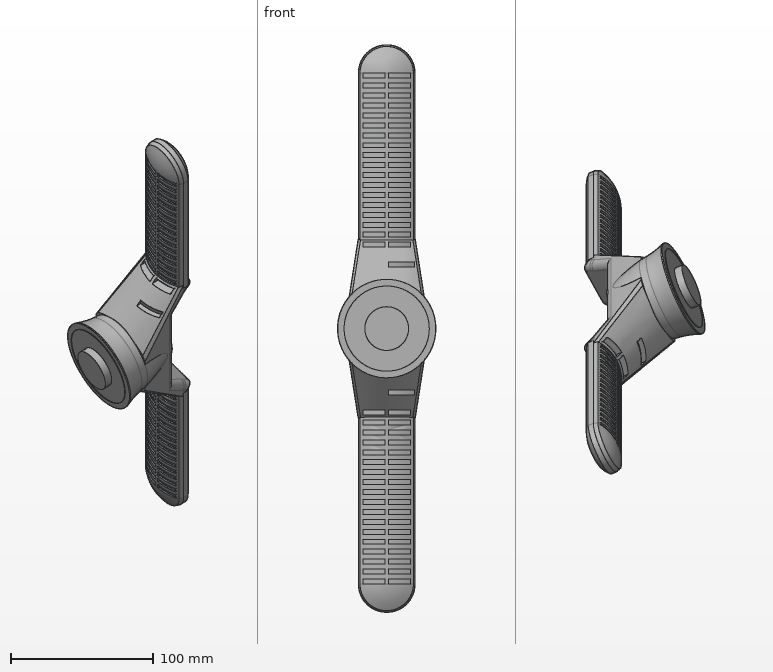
import math

import cadquery as cq


total_length = 399.68
total_depth = 76.4

grip_half_width = 20.0
grip_depth = 17.7
back_flat_half_width = 9.0
back_round_depth = 5.3
widest_depth = 9.3
crown_half_width = 18.8
crown_radius = 36.0
grip_end_z = total_length / 2 - grip_half_width

back_bend_z = 57.9
front_bend_z = 62.2
bridge_back_depth = 19.5
bridge_back_half_height = 39.8
bridge_front_half_width = 27.4
bridge_back_round = 6.0
bridge_edge_top_z = 63.9
bridge_edge_bottom_z = 16.4
bridge_bevel_width = 1.8
slope_crown_radius = 42.0
bridge_limit_z = 80.0
selection_margin = 1.0

hub_start_depth = 20.0
hub_start_radius = 20.6
hub_bulge = 0.7
collar_depth = 50.3
collar_radius = 30.3
flare_depth = 56.0
flare_radius = 31.0
flare_hollow = 0.4
rim_back_depth = 69.2
rim_radius = 34.7
rim_front_depth = 70.2
plate_depth = 70.7
plate_radius = 30.0
button_radius = 15.4

groove_count = 18
groove_pitch = 7.0
groove_height = 3.5
groove_depth = 1.2
groove_inner_x = 1.3
groove_outer_x = 16.6
first_groove_z = grip_end_z - groove_height / 2
odd_groove_index = 19
odd_groove_outer_x = 19.5
groove_reach = 12.0


def crown_y(x, front_depth, radius=crown_radius):
    """Y of the crowned front at a distance x from the middle."""
    return -front_depth + radius - math.sqrt(radius**2 - x**2)


def slope_depth(z):
    """Depth of the middle of the sloping bridge front at height z."""
    return grip_depth + front_bend_z - z


def grip_half_section(workplane):
    """Right half of the grip cross-section, closed along its middle line."""
    half_crown_x = crown_half_width / 2
    return (
        workplane.moveTo(0, 0)
        .lineTo(back_flat_half_width, 0)
        .tangentArcPoint((grip_half_width, -back_round_depth), relative=False)
        .lineTo(grip_half_width, -widest_depth)
        .lineTo(crown_half_width, crown_y(crown_half_width, grip_depth))
        .threePointArc((half_crown_x, crown_y(half_crown_x, grip_depth)), (0, -grip_depth))
        .close()
    )


def make_upper_grip():
    """Straight grip above the bend, with a domed end turned from the same section."""
    right_half = grip_half_section(cq.Workplane("XY")).extrude(grip_end_z)
    straight = right_half.union(right_half.mirror("YZ"))
    below_bend = (
        cq.Workplane("YZ")
        .polyline([
            (0, back_bend_z),
            (-grip_depth, front_bend_z),
            (-grip_depth, 0),
            (0, 0),
        ])
        .close()
        .extrude(grip_half_width, both=True)
    )
    end_plane = cq.Workplane("XY", origin=(0, 0, grip_end_z))
    dome = grip_half_section(end_plane).revolve(180, (0, 0), (0, -1))
    return straight.cut(below_bend).union(dome)


def slope_limit_wire(z):
    """Outline at height z of the crowned slope front with its bevelled edges."""
    fraction = (bridge_edge_top_z - z) / (bridge_edge_top_z - bridge_edge_bottom_z)
    edge_x = grip_half_width + fraction * (bridge_front_half_width - grip_half_width)
    edge_y = -widest_depth - fraction * (collar_depth - widest_depth)
    crown_x = edge_x - bridge_bevel_width
    crown_edge_y = crown_y(crown_x, slope_depth(z), slope_crown_radius)
    outer_x = edge_x + bridge_bevel_width
    outer_y = 2 * edge_y - crown_edge_y
    return (
        cq.Workplane("XY", origin=(0, 0, z))
        .moveTo(-outer_x, total_depth)
        .lineTo(-outer_x, outer_y)
        .lineTo(-crown_x, crown_edge_y)
        .threePointArc((0, -slope_depth(z)), (crown_x, crown_edge_y))
        .lineTo(outer_x, outer_y)
        .lineTo(outer_x, total_depth)
        .close()
        .val()
    )


def make_slope_limit():
    """Upper-half block whose front is the crowned, bevelled slope of the bridge."""
    wires = [slope_limit_wire(0), slope_limit_wire(bridge_limit_z)]
    return cq.Workplane(cq.Solid.makeLoft(wires, True))


def make_bridge():
    """Middle piece: sloped front and back, sides that widen towards the knob."""
    shoulder_z = front_bend_z + grip_depth - widest_depth
    front_z = front_bend_z + grip_depth - collar_depth
    upper = [
        (-bridge_back_depth, bridge_back_half_height),
        (0, back_bend_z),
        (-widest_depth, shoulder_z),
        (-collar_depth, front_z),
    ]
    lower = [(y, -z) for y, z in reversed(upper)]
    block = (
        cq.Workplane("YZ")
        .polyline(upper + lower)
        .close()
        .extrude(bridge_front_half_width, both=True)
    )
    right_side = [
        (grip_half_width, 0),
        (grip_half_width, -widest_depth),
        (bridge_front_half_width, -collar_depth),
    ]
    left_side = [(-x, y) for x, y in reversed(right_side)]
    plan = (
        cq.Workplane("XY")
        .polyline(right_side + left_side)
        .close()
        .extrude(bridge_limit_z, both=True)
    )
    block = block.intersect(plan)
    back_edges = cq.selectors.BoxSelector(
        (-bridge_front_half_width, -bridge_back_depth - selection_margin, -shoulder_z),
        (bridge_front_half_width, -selection_margin, shoulder_z),
    )
    block = block.edges(back_edges).edges("not |X").fillet(bridge_back_round)
    upper_half = block.intersect(make_slope_limit())
    return upper_half.union(upper_half.mirror("XY"))


def make_knob():
    """Rounded hub, flared collar, rim, face plate and button, turned about Y."""
    hub_middle_depth = (hub_start_depth + collar_depth) / 2
    hub_middle_radius = (hub_start_radius + collar_radius) / 2 + hub_bulge
    flare_middle_depth = (flare_depth + rim_back_depth) / 2
    flare_middle_radius = (flare_radius + rim_radius) / 2 - flare_hollow
    return (
        cq.Workplane("XY")
        .moveTo(0, -hub_start_depth)
        .lineTo(hub_start_radius, -hub_start_depth)
        .threePointArc((hub_middle_radius, -hub_middle_depth), (collar_radius, -collar_depth))
        .lineTo(flare_radius, -flare_depth)
        .threePointArc((flare_middle_radius, -flare_middle_depth), (rim_radius, -rim_back_depth))
        .lineTo(rim_radius, -rim_front_depth)
        .lineTo(plate_radius, -rim_front_depth)
        .lineTo(plate_radius, -plate_depth)
        .lineTo(button_radius, -plate_depth)
        .lineTo(button_radius, -total_depth)
        .lineTo(0, -total_depth)
        .close()
        .revolve(360, (0, 0), (0, 1))
    )


def make_groove(z, floor_depth, outer_x):
    """Cutter for one groove on the +X side, with a floor that follows the crown."""
    slot = (
        cq.Workplane("XY", origin=(0, 0, z - groove_height / 2))
        .moveTo(groove_inner_x, 0)
        .lineTo(outer_x, 0)
        .lineTo(outer_x, -floor_depth - groove_reach)
        .lineTo(groove_inner_x, -floor_depth - groove_reach)
        .close()
        .extrude(groove_height)
    )
    core = (
        cq.Workplane("XY", origin=(0, crown_radius - floor_depth, z - groove_height / 2))
        .circle(crown_radius)
        .extrude(groove_height)
    )
    return slot.cut(core)


def make_upper_grooves():
    """Two columns of grooves on the grip, and a single one on the slope at +X."""
    cutters = []
    for index in range(groove_count):
        z = first_groove_z - index * groove_pitch
        groove = make_groove(z, grip_depth - groove_depth, groove_outer_x)
        cutters.append(groove)
        cutters.append(groove.mirror("YZ"))
    odd_z = first_groove_z - odd_groove_index * groove_pitch
    odd_floor_depth = slope_depth(odd_z + groove_height / 2)
    cutters.append(make_groove(odd_z, odd_floor_depth, odd_groove_outer_x))
    return cutters


upper_grip = make_upper_grip()
result = make_bridge().union(upper_grip).union(upper_grip.mirror("XY")).union(make_knob())
for cutter in make_upper_grooves():
    result = result.cut(cutter).cut(cutter.mirror("XY"))